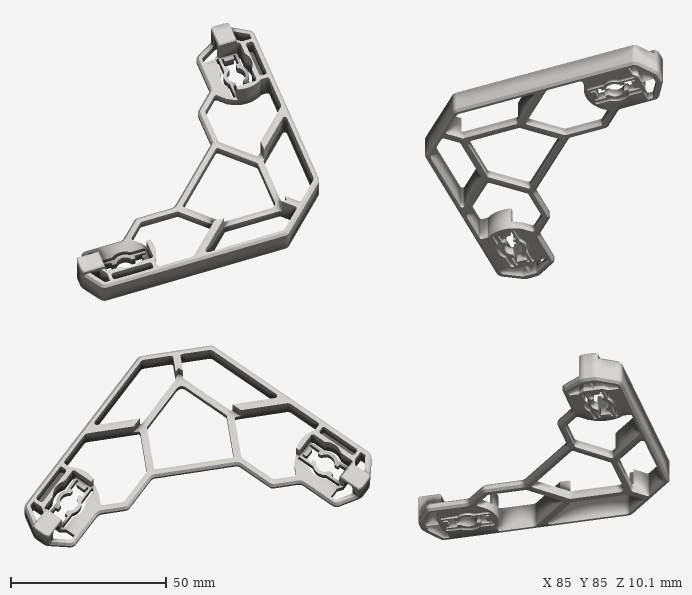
import cadquery as cq
import math

size = 85.0
wall_top = 8.6
ledge_top = 2.9
block_top = 10.1

wall = 1.7
rib = 2.4
edge_chamfer = 0.8
corner_cut = 17.0
step = 72.2
ring_outer = 71.7
ring_inner = 69.7
wall_corner_radius = 2.0
window_radius = 0.8
outline_radius = 2.3
nose_radius = 3.6

head_width = 19.8
head_x = 16.0
head_radius = head_width / 2
head_y = size - head_radius
nose_half = 2.3
nose_slant = 4.8
foot_y = 58.4

block_length = 7.8
block_half = 3.15
block_chamfer = 0.3
tunnel_left = 2.3
tunnel_right = 6.55
tunnel_top = 8.8
tunnel_apex = 0.3
front_lean_reach = 1.0
front_lean_drop = 3.8
back_lean_reach = 0.5
back_lean_drop = 4.7
web_reach = 4.9

seat_end = 24.1
seat_half = 4.2
seat_radius = 0.8
seat_bulge_radius = 5.3
clip_half = 3.15
clip_bulge_radius = 4.1
clip_bore_radius = 3.0
neck_half = 1.4
mouth_half = 2.4
mouth_start = 8.25
mouth_end = 23.55
mouth_length = 3.65
tab_half = 1.7
tab_length = 1.4
tab_chamfer = 0.3

slot_start = 8.9
slot_end = 22.8
slot_width = 2.55
slot_radius = 0.8

rib_span = rib * math.sqrt(2)
notch_sum = 83.7
waist_sum = 97.0
brace_sum = 119.6
spoke_rise = 21.8
inner_corner_sum = 2 * size - corner_cut - wall * math.sqrt(2)
inner_edge = size - wall

match_distance = 0.01


def prism(points, height):
    return cq.Workplane("XY").polyline(points).close().extrude(height)


def box(x0, x1, y0, y1, z0, z1):
    return cq.Workplane("XY").box(x1 - x0, y1 - y0, z1 - z0, centered=False).translate((x0, y0, z0))


def disc(radius, height):
    """Cylinder on the axis of the head."""
    return cq.Workplane("XY").center(head_x, head_y).circle(radius).extrude(height)


def head_box(x0, x1, half, height):
    """Box centred on the middle line of the head."""
    return box(x0, x1, head_y - half, head_y + half, 0, height)


def mirrored(body):
    """Copy for the other arm, reflected in the plane x = y."""
    return body.mirror(cq.Vector(1, -1, 0), (0, 0, 0))


def both(body):
    """The body together with its copy on the other arm."""
    return body.union(mirrored(body))


def round_corners(body, points, radius):
    """Fillet the upright edges that stand on the given points."""
    picked = []
    for edge in body.edges("|Z").vals():
        center = edge.Center()
        if any(math.hypot(center.x - x, center.y - y) < match_distance for x, y in points):
            picked.append(edge)
    return body.newObject(picked).fillet(radius)


def swapped(points):
    """Points of the other arm, in the order that continues the outline."""
    return [(y, x) for x, y in reversed(points)]


def outline(height):
    """Outer outline with rounded corners and chamfered top and bottom edges."""
    head_low = size - head_width
    foot = [
        (waist_sum - foot_y, foot_y),
        (notch_sum - foot_y, foot_y),
        (notch_sum - head_low, head_low),
        (nose_slant, head_low),
    ]
    nose = [(0, head_y - nose_half), (0, head_y + nose_half)]
    back = [(nose_slant, size), (size - corner_cut, size)]
    arm = foot + nose + back
    body = prism(arm + swapped(arm), height)
    body = round_corners(body, nose + swapped(nose), nose_radius)
    body = round_corners(body, foot + back + swapped(foot + back), outline_radius)
    return body.faces("<Z or >Z").edges().chamfer(edge_chamfer)


def window(points, wide_corners):
    """Opening with rounded corners; the wide corners have the larger radius."""
    narrow_corners = [point for point in points if point not in wide_corners]
    body = round_corners(prism(points, wall_top), wide_corners, wall_corner_radius)
    return round_corners(body, narrow_corners, window_radius)


def arm_window():
    """Opening between the head and the brace, hollowed by the round head."""
    tip_rise = head_y - head_x - head_radius * math.sqrt(2)
    low_sum = notch_sum + rib_span
    low_y = foot_y + rib
    tip_x = (low_sum - tip_rise) / 2
    brace_x = (brace_sum - spoke_rise) / 2
    wall_corner = (brace_sum - inner_edge, inner_edge)
    points = [
        (seat_end, inner_edge),
        wall_corner,
        (brace_x, brace_x + spoke_rise),
        (low_y - spoke_rise, low_y),
        (low_sum - low_y, low_y),
        (tip_x, tip_x + tip_rise),
        (seat_end, seat_end + tip_rise),
    ]
    return window(points, [wall_corner]).cut(disc(head_radius, wall_top))


def corner_window():
    """Opening between the outer wall, the brace and the short corner rib."""
    corner_rib = rib_span / 2
    left_sum = brace_sum + rib_span
    rib_x = (inner_corner_sum - corner_rib) / 2
    wall_corner = (inner_corner_sum - inner_edge, inner_edge)
    points = [
        (left_sum - inner_edge, inner_edge),
        wall_corner,
        (rib_x, rib_x + corner_rib),
        (ring_outer - corner_rib, ring_outer),
        (left_sum - ring_outer, ring_outer),
    ]
    return window(points, [wall_corner])


def centre_window():
    """Five-sided opening inside the ring."""
    rise = spoke_rise - rib_span
    low_sum = waist_sum + rib_span
    low_x = (low_sum - rise) / 2
    half = [(low_x, low_x + rise), (ring_inner - rise, ring_inner)]
    ring_corner = (ring_inner, ring_inner)
    return window(half + [ring_corner] + swapped(half), [ring_corner])


def frame():
    """Ledge-height body, raised along the outer strips, with all the openings."""
    low = outline(ledge_top)
    raised = outline(wall_top).cut(box(0, step, 0, step, 0, wall_top))
    body = low.union(raised)
    return body.cut(both(arm_window())).cut(both(corner_window())).cut(centre_window())


def end_block():
    """Raised block on the nose, following the rounded outline."""
    column = head_box(0, block_length, block_half, block_top)
    rounded = outline(block_top + edge_chamfer)
    return column.intersect(rounded).faces(">Z").edges().chamfer(block_chamfer)


def tunnel():
    """Opening through the nose that passes under the block."""
    side = head_radius - wall
    lean = nose_slant / (head_radius - nose_half)
    half = [
        (tunnel_left, nose_half),
        (tunnel_left + lean * (side - nose_half), side),
        (block_length, side),
        (block_length, web_reach),
        (tunnel_right, block_half),
    ]
    points = half + [(x, -y) for x, y in reversed(half)]
    body = prism([(x, head_y + y) for x, y in points], tunnel_top)
    front = tunnel_corner(tunnel_left, front_lean_reach, front_lean_drop)
    back = tunnel_corner(tunnel_right, -back_lean_reach, back_lean_drop)
    return body.cut(front).cut(back).cut(tunnel_core())


def tunnel_core():
    """Wedge hanging from the middle of the block, which leaves a sloping recess on each side."""
    profile = [
        (head_y - block_half, tunnel_top),
        (head_y + block_half, tunnel_top),
        (head_y, tunnel_apex),
    ]
    return cq.Workplane("YZ").polyline(profile).close().extrude(block_length)


def tunnel_corner(x, reach, drop):
    """Sloping material left between a tunnel side and the underside of the block."""
    profile = [(x, tunnel_top - drop), (x + reach, tunnel_top), (x, tunnel_top)]
    wedge = cq.Workplane("XZ", origin=(0, head_y, 0)).polyline(profile).close()
    return wedge.extrude(block_half, both=True)


def clip_seat():
    """Recess in the head, open down to the ledge height."""
    seat = head_box(block_length, seat_end, seat_half, wall_top).edges("|Z").fillet(seat_radius)
    return seat.union(disc(seat_bulge_radius, wall_top))


def clip():
    """Bar left in the seat: two side strips, a bored middle and two end tabs."""
    bar = head_box(block_length, seat_end, clip_half, ledge_top)
    bar = bar.union(disc(clip_bulge_radius, ledge_top))
    bar = bar.cut(disc(clip_bore_radius, ledge_top))
    bar = bar.cut(head_box(mouth_start, mouth_end, neck_half, ledge_top))
    for start in (mouth_start, mouth_end - mouth_length):
        bar = bar.cut(head_box(start, start + mouth_length, mouth_half, ledge_top))
    front_tab = head_box(mouth_start, mouth_start + tab_length, tab_half, ledge_top)
    back_tab = head_box(mouth_end - tab_length, mouth_end, tab_half, ledge_top)
    bar = bar.union(front_tab.edges("|Z and >X").chamfer(tab_chamfer))
    bar = bar.union(back_tab.edges("|Z and <X").chamfer(tab_chamfer))
    return bar


def wall_slot():
    """Blind slot beside the outer wall, with its floor at the ledge height."""
    slot = box(slot_start, slot_end, inner_edge - slot_width, inner_edge, ledge_top, wall_top)
    return slot.edges("|Z").fillet(slot_radius)


result = frame().union(both(end_block())).cut(both(tunnel()))
result = result.cut(both(clip_seat())).union(both(clip())).cut(both(wall_slot()))